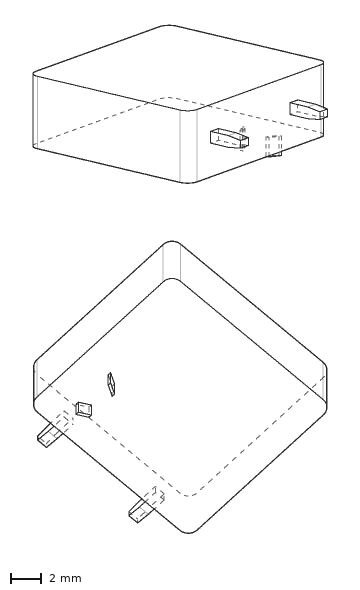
import cadquery as cq

overall_length = 16.0
body_width = 14.4
overall_height = 6.25
foot_height = 1.33
body_height = overall_height - foot_height
side_pin_length = 2.5
body_length = overall_length - side_pin_length
corner_radius = 0.8

side_pin_size = 0.8
side_pin_tip_height = 0.53
side_pin_taper_length = 1.0
side_pin_center_z = 2.7
side_pin_pitch = 8.2
side_pin_mid_y = 6.7

foot_thickness = 0.22
foot_depth = 0.77
foot_slant = 0.43
foot_gap = 1.95
foot_mid_x = 9.71
foot_front_y = 11.42


def make_body():
    block = cq.Workplane("XY").box(body_length, body_width, body_height, centered=False)
    return block.edges("|Z").fillet(corner_radius)


def make_side_pin(center_y):
    half_root = side_pin_size / 2
    half_tip = side_pin_tip_height / 2
    taper_start = overall_length - side_pin_taper_length
    outline = [
        (body_length, -half_root),
        (taper_start, -half_root),
        (overall_length, -half_tip),
        (overall_length, half_tip),
        (taper_start, half_root),
        (body_length, half_root),
    ]
    pin = cq.Workplane("XZ").polyline(outline).close().extrude(side_pin_size / 2, both=True)
    return pin.translate((0, center_y, side_pin_center_z))


def make_foot(side):
    front_inner_x = foot_mid_x + side * foot_gap / 2
    back_inner_x = front_inner_x + side * foot_slant
    back_y = foot_front_y + foot_depth
    outline = [
        (front_inner_x, foot_front_y),
        (front_inner_x + side * foot_thickness, foot_front_y),
        (back_inner_x + side * foot_thickness, back_y),
        (back_inner_x, back_y),
    ]
    return cq.Workplane("XY").polyline(outline).close().extrude(-foot_height)


result = make_body()
for side in (-1, 1):
    result = result.union(make_side_pin(side_pin_mid_y + side * side_pin_pitch / 2))
    result = result.union(make_foot(side))